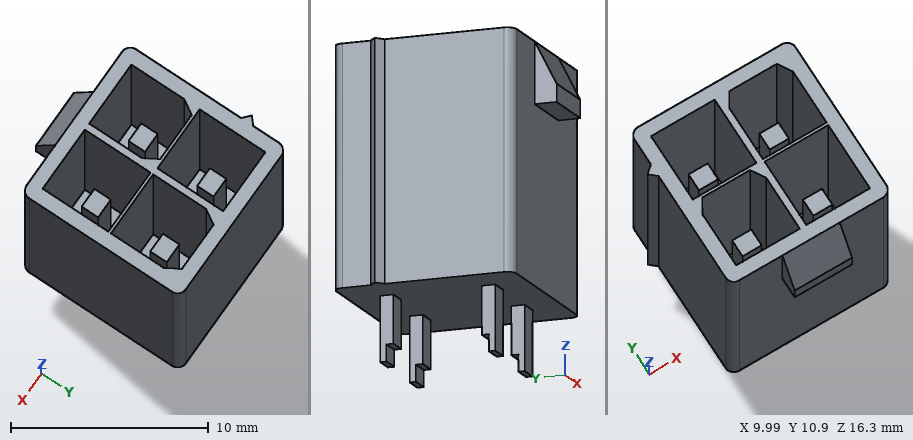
import cadquery as cq

body_width = 9.57
body_depth = 9.76
body_height = 12.83
corner_radius = 0.5

cavity_width = 3.78
cavity_depth = 4.03
wall_between_columns = 0.39
wall_between_rows = 0.16
floor_thickness = 2.45
key_chamfer_x = 0.47
key_chamfer_y = 0.78

pitch = 4.2
contact_width = 1.14
contact_thickness = 1.01
contact_height = 6.52
tail_length = 16.3 - body_height
tail_inner_y = 2.4
tail_outer_y = 3.11
tip_thickness = 0.35
tail_step_drop = 2.58

latch_width = 3.4
latch_reach = 1.19
latch_ramp_height = 2.33
latch_height = 3.3

rib_reach = 0.42
rib_width = 0.75
rib_y = 2.45

body_left = -body_width / 2
body_front = -body_depth / 2


def make_body():
    body = cq.Workplane("XY").box(body_width, body_depth, body_height, centered=(True, True, False))
    return body.edges("|Z").fillet(corner_radius)


def make_rib():
    profile = [
        (body_left, rib_y - rib_width / 2),
        (body_left - rib_reach, rib_y),
        (body_left, rib_y + rib_width / 2),
    ]
    return cq.Workplane("XY").polyline(profile).close().extrude(body_height)


def make_latch():
    latch_face = body_front - latch_reach
    latch_bottom = body_height - latch_height
    profile = [
        (body_front, body_height),
        (latch_face, body_height - latch_ramp_height),
        (latch_face, latch_bottom),
        (body_front, latch_bottom),
    ]
    return cq.Workplane("YZ").polyline(profile).close().extrude(latch_width / 2, both=True)


def make_cavity(column, row):
    """Cavity in column and row -1 or +1; same-sign positions have keyed corners on +Y."""
    center_x = column * (wall_between_columns + cavity_width) / 2
    center_y = row * (wall_between_rows + cavity_depth) / 2
    left = center_x - cavity_width / 2
    right = center_x + cavity_width / 2
    bottom = center_y - cavity_depth / 2
    top = center_y + cavity_depth / 2
    if column == row:
        upper_corners = [
            (right, top - key_chamfer_y),
            (right - key_chamfer_x, top),
            (left + key_chamfer_x, top),
            (left, top - key_chamfer_y),
        ]
    else:
        upper_corners = [(right, top), (left, top)]
    outline = [(left, bottom), (right, bottom)] + upper_corners
    floor = cq.Workplane("XY").workplane(offset=floor_thickness)
    return floor.polyline(outline).close().extrude(body_height - floor_thickness)


def make_contact(column, row):
    """Square contact standing on the cavity floor."""
    floor = cq.Workplane("XY").workplane(offset=floor_thickness)
    contact = floor.rect(contact_width, contact_thickness).extrude(contact_height)
    return contact.translate((column * pitch / 2, row * pitch / 2, 0))


def make_tail(column, row):
    """Solder tail below the housing, stepped to a thin tip on its outer side."""
    tip_inner_y = tail_outer_y - tip_thickness
    profile = [
        (row * tail_inner_y, 0),
        (row * tail_inner_y, -tail_step_drop),
        (row * tip_inner_y, -tail_step_drop),
        (row * tip_inner_y, -tail_length),
        (row * tail_outer_y, -tail_length),
        (row * tail_outer_y, 0),
    ]
    tail = cq.Workplane("YZ").polyline(profile).close().extrude(contact_width / 2, both=True)
    return tail.translate((column * pitch / 2, 0, 0))


result = make_body().union(make_rib()).union(make_latch())
for column in (-1, 1):
    for row in (-1, 1):
        result = result.cut(make_cavity(column, row))
        result = result.union(make_contact(column, row))
        result = result.union(make_tail(column, row))